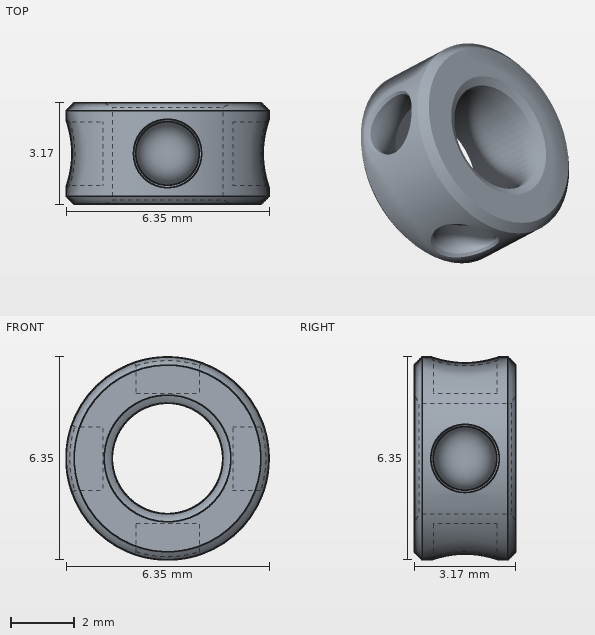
import cadquery as cq
import math

outer_diameter = 6.35
width = outer_diameter / 2
bore_diameter = 3.455
outer_chamfer = 0.255
bore_chamfer_radial = 0.255
bore_chamfer_angle = 30.0

hole_count = 4
hole_diameter = 1.99
hole_depth = 1.14
hole_chamfer_outward = 0.075
hole_chamfer_inward = 0.11

outer_radius = outer_diameter / 2
bore_radius = bore_diameter / 2
half_width = width / 2
bore_chamfer_axial = bore_chamfer_radial * math.tan(math.radians(bore_chamfer_angle))


def make_ring():
    """Revolve the (radius, axial) section of the ring about Y."""
    section = [
        (bore_radius, half_width - bore_chamfer_axial),
        (bore_radius + bore_chamfer_radial, half_width),
        (outer_radius - outer_chamfer, half_width),
        (outer_radius, half_width - outer_chamfer),
    ]
    mirrored = [(radius, -axial) for radius, axial in reversed(section)]
    return cq.Workplane("XY").polyline(section + mirrored).close().revolve()


def make_hole_cutter(angle):
    """Flat-bottomed cylinder from the hole floor outward, turned about Y."""
    cutter = (
        cq.Workplane("XY")
        .workplane(offset=outer_radius - hole_depth)
        .circle(hole_diameter / 2)
        .extrude(outer_radius)
    )
    return cutter.rotate((0, 0, 0), (0, 1, 0), angle)


def find_hole_rims(body):
    """Non-circular curves where the holes break through the outer surface."""
    return body.edges("not (%CIRCLE or %LINE)")


result = make_ring()
for index in range(hole_count):
    result = result.cut(make_hole_cutter(index * 360 / hole_count))

result = find_hole_rims(result).chamfer(hole_chamfer_outward, hole_chamfer_inward)